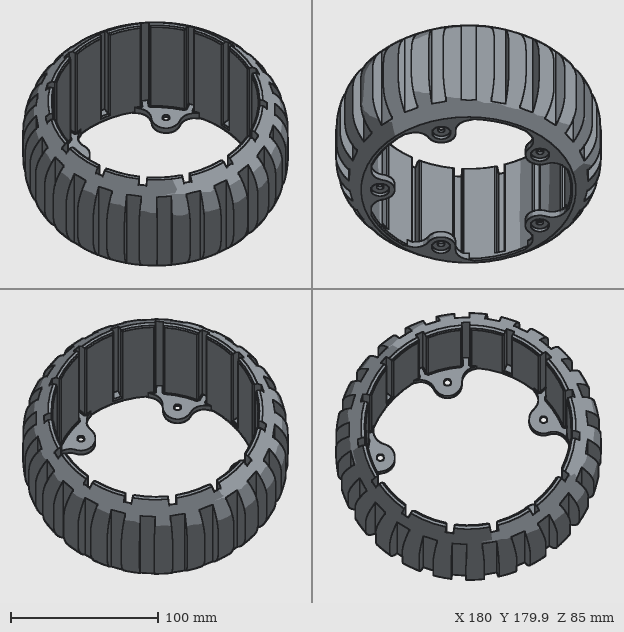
import cadquery as cq
import math

HEIGHT = 85.0
OUTER_RADIUS = 90.0
BORE_RADIUS = 69.7
CROWN_FLAT_HALF = 11.2
SHOULDER_RADIUS = 34.4
EDGE_CHAMFER = 1.0

SLOT_COUNT = 25
SLOT_WIDTH = 10.0
SLOT_FLOOR_RADIUS = 81.0
FIRST_SLOT_ANGLE = 90.0

GROOVE_WIDTH = 5.4
GROOVE_FLOOR_RADIUS = 75.6
TAB_GROOVE_ANGLE = 12.4
CUT_MARGIN = 1.8

TAB_COUNT = 5
TAB_PITCH = 360.0 / TAB_COUNT
TAB_THICKNESS = 5.0
TAB_BOSS_RADIUS = 9.9
TAB_HOLE_DIAMETER = 4.9
TAB_RECESS_DIAMETER = 12.6
TAB_RECESS_DEPTH = 2.7
TAB_HOLE_CIRCLE = 60.0
TAB_FLANK_RADIUS = 10.0
TAB_FLANK_END = 66.0
TAB_FOOT_SIZE = 0.7

TOLERANCE = 0.002

HALF_HEIGHT = HEIGHT / 2
BOTTOM = -HALF_HEIGHT
TAB_TOP = BOTTOM + TAB_THICKNESS


def radial_block(inner, outer, width, bottom, top):
    """Block along +X from inner to outer distance, centred on the XZ plane."""
    return (
        cq.Workplane("XY", origin=((inner + outer) / 2, 0, bottom))
        .box(outer - inner, width, top - bottom, centered=(True, True, False))
    )


def around(shape, count, first_angle):
    """Copies of a shape at equal angles about Z."""
    copies = cq.Workplane("XY")
    for i in range(count):
        copies.add(shape.rotate((0, 0, 0), (0, 0, 1), first_angle + i * 360.0 / count))
    return copies.combine()


def tyre_body():
    """Crowned ring: flat band, tangent shoulder arcs and 45 degree rim cones."""
    diagonal = math.sqrt(0.5)
    arc_center = OUTER_RADIUS - SHOULDER_RADIUS
    cone_radius = arc_center + SHOULDER_RADIUS * diagonal
    cone_height = CROWN_FLAT_HALF + SHOULDER_RADIUS * diagonal
    rim_radius = cone_radius - (HALF_HEIGHT - cone_height)
    middle = math.radians(45.0 / 2)
    middle_radius = arc_center + SHOULDER_RADIUS * math.cos(middle)
    middle_height = CROWN_FLAT_HALF + SHOULDER_RADIUS * math.sin(middle)
    return (
        cq.Workplane("XZ")
        .moveTo(BORE_RADIUS, -HALF_HEIGHT)
        .lineTo(rim_radius, -HALF_HEIGHT)
        .lineTo(cone_radius, -cone_height)
        .threePointArc((middle_radius, -middle_height), (OUTER_RADIUS, -CROWN_FLAT_HALF))
        .lineTo(OUTER_RADIUS, CROWN_FLAT_HALF)
        .threePointArc((middle_radius, middle_height), (cone_radius, cone_height))
        .lineTo(rim_radius, HALF_HEIGHT)
        .lineTo(BORE_RADIUS, HALF_HEIGHT)
        .close()
        .revolve(360, (0, 0, 0), (0, 1, 0))
    )


def tread_slots():
    """Flat-floored slots that run out through the shoulders."""
    slot = radial_block(SLOT_FLOOR_RADIUS, OUTER_RADIUS + CUT_MARGIN, SLOT_WIDTH, -HALF_HEIGHT, HALF_HEIGHT)
    return around(slot, SLOT_COUNT, FIRST_SLOT_ANGLE)


def key_grooves():
    """Grooves open at the top rim: two beside each tab and one halfway between tabs."""
    inner = BORE_RADIUS - CUT_MARGIN
    top = HALF_HEIGHT + CUT_MARGIN
    groove = radial_block(inner, GROOVE_FLOOR_RADIUS, GROOVE_WIDTH, TAB_TOP, top)
    angles = (-TAB_GROOVE_ANGLE, TAB_GROOVE_ANGLE, TAB_PITCH / 2)
    grooves = cq.Workplane("XY")
    for angle in angles:
        grooves.add(around(groove, TAB_COUNT, angle))
    return grooves.combine()


def tab():
    """Round boss with concave flanks, joined to the wall beyond both neighbouring grooves."""
    flank_x = TAB_FLANK_END - TAB_FLANK_RADIUS
    reach = TAB_BOSS_RADIUS + TAB_FLANK_RADIUS
    flank_y = math.sqrt(reach**2 - (TAB_HOLE_CIRCLE - flank_x) ** 2)
    touch = TAB_BOSS_RADIUS / reach
    touch_x = TAB_HOLE_CIRCLE + (flank_x - TAB_HOLE_CIRCLE) * touch
    touch_y = flank_y * touch
    start_angle = math.atan2(touch_y - flank_y, touch_x - flank_x)
    middle_x = flank_x + TAB_FLANK_RADIUS * math.cos(start_angle / 2)
    middle_y = flank_y + TAB_FLANK_RADIUS * math.sin(start_angle / 2)
    root = BORE_RADIUS + EDGE_CHAMFER
    root_y = math.sqrt(root**2 - TAB_FLANK_END**2)
    plate = (
        cq.Workplane("XY", origin=(0, 0, BOTTOM))
        .moveTo(touch_x, -touch_y)
        .threePointArc((TAB_HOLE_CIRCLE - TAB_BOSS_RADIUS, 0), (touch_x, touch_y))
        .threePointArc((middle_x, middle_y), (TAB_FLANK_END, flank_y))
        .lineTo(TAB_FLANK_END, root_y)
        .threePointArc((root, 0), (TAB_FLANK_END, -root_y))
        .lineTo(TAB_FLANK_END, -flank_y)
        .threePointArc((middle_x, -middle_y), (touch_x, -touch_y))
        .close()
        .extrude(TAB_THICKNESS)
    )
    hole_base = cq.Workplane("XY", origin=(TAB_HOLE_CIRCLE, 0, BOTTOM))
    hole = hole_base.circle(TAB_HOLE_DIAMETER / 2).extrude(TAB_THICKNESS)
    recess = hole_base.circle(TAB_RECESS_DIAMETER / 2).extrude(TAB_RECESS_DEPTH)
    return plate.cut(hole).cut(recess)


def chamfer_bore_edges(ring):
    """Chamfer every edge of the bore: both rims and the mouths of the key grooves."""
    edges = [edge for edge in ring.edges().vals() if starts_and_ends_on_bore(edge)]
    return ring.newObject(edges).chamfer(EDGE_CHAMFER)


def starts_and_ends_on_bore(edge):
    """True for rim arcs and groove mouth edges."""
    ends = (edge.startPoint(), edge.endPoint())
    return all(abs(math.hypot(end.x, end.y) - BORE_RADIUS) < TOLERANCE for end in ends)


def chamfer_tab_feet(ring):
    """Small sloping foot where each tab meets the bore and the sides of its two grooves."""
    edges = [edge for edge in ring.edges().vals() if is_tab_foot(edge)]
    return ring.newObject(edges).chamfer(TAB_FOOT_SIZE)


def is_tab_foot(edge):
    """True for edges at tab height, near a tab, that reach the bore or a groove side."""
    ends = (edge.startPoint(), edge.endPoint())
    radii = [math.hypot(end.x, end.y) for end in ends]
    middle = edge.positionAt(0.5)
    angle = math.degrees(math.atan2(middle.y, middle.x))
    from_tab = abs((angle + TAB_PITCH / 2) % TAB_PITCH - TAB_PITCH / 2)
    return (
        all(abs(end.z - TAB_TOP) < TOLERANCE for end in ends)
        and from_tab < TAB_PITCH / 3
        and min(radii) > BORE_RADIUS - TOLERANCE
        and min(radii) < GROOVE_FLOOR_RADIUS - TOLERANCE
    )


ring = chamfer_bore_edges(tyre_body().cut(key_grooves()))
ring = ring.cut(tread_slots())
ring = ring.union(around(tab(), TAB_COUNT, 0)).clean()
result = chamfer_tab_feet(ring)